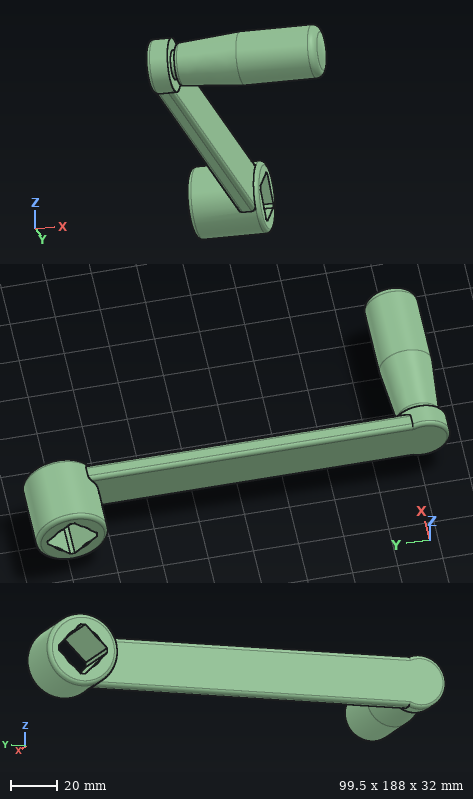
import cadquery as cq
import math

HUB_DIAMETER = 32.0
HUB_LENGTH = 32.0
EDGE_ROUND = 1.9
SQUARE_ACROSS_FLATS = 17.0
SQUARE_CORNER_DIAMETER = 22.0
LEAD_IN_DIAMETER = 17.9
LEAD_IN_ANGLE = 45
LEAD_IN_DEPTH = (LEAD_IN_DIAMETER - SQUARE_ACROSS_FLATS) / 2

TOTAL_LENGTH = 188.0
BOSS_DIAMETER = 23.9
BOSS_WIDTH = 9.8
ARM_HEIGHT = 22.0
ARM_THICKNESS = 7.9
BOSS_ROUND = 1.7
BOSS_X = HUB_LENGTH - BOSS_WIDTH
BOSS_Y = -(TOTAL_LENGTH - HUB_DIAMETER / 2 - BOSS_DIAMETER / 2)

SPINDLE_DIAMETER = 13.0
SPINDLE_START_X = BOSS_X + ARM_THICKNESS / 2
NECK_LENGTH = 2.0
GRIP_END_X = 99.5
GRIP_START_X = HUB_LENGTH + NECK_LENGTH
GRIP_DIAMETER = 23.7
GRIP_SMALL_DIAMETER = 19.0
GRIP_LIP_ROUND = 1.3
GRIP_TAPER_LENGTH = 28.5
GRIP_END_ROUND = 3.4
GRIP_DOME_HEIGHT = 1.3


def x_cylinder(diameter, start_x, length, center_y):
    """Cylinder parallel to the X axis."""
    return (
        cq.Workplane("YZ", origin=(start_x, center_y, 0))
        .circle(diameter / 2)
        .extrude(length)
    )


def make_square_bore():
    """Square socket on its corner, with corners cut back and a 45 degree lead-in on the left."""
    square = (
        cq.Workplane("YZ")
        .transformed(rotate=(0, 0, 45))
        .rect(SQUARE_ACROSS_FLATS, SQUARE_ACROSS_FLATS)
        .extrude(HUB_LENGTH)
    )
    corner_limit = x_cylinder(SQUARE_CORNER_DIAMETER, 0, HUB_LENGTH, 0)
    lead_in = (
        cq.Workplane("YZ")
        .circle(LEAD_IN_DIAMETER / 2)
        .extrude(LEAD_IN_DEPTH, taper=LEAD_IN_ANGLE)
    )
    return square.intersect(corner_limit).union(lead_in)


def make_arm():
    """Flat bar with rounded long edges, from the hub axis to the boss axis."""
    return (
        cq.Workplane("XY")
        .box(ARM_THICKNESS, -BOSS_Y, ARM_HEIGHT, centered=(False, False, True))
        .translate((BOSS_X, BOSS_Y, 0))
        .edges("|Y")
        .fillet(EDGE_ROUND)
    )


def make_crank():
    """Hub, arm and boss in one piece, bored for the shaft and for the spindle."""
    hub = x_cylinder(HUB_DIAMETER, 0, HUB_LENGTH, 0).edges("%CIRCLE").fillet(EDGE_ROUND)
    boss = x_cylinder(BOSS_DIAMETER, BOSS_X, BOSS_WIDTH, BOSS_Y).edges("<X").fillet(BOSS_ROUND)
    spindle_hole = x_cylinder(SPINDLE_DIAMETER, SPINDLE_START_X, BOSS_WIDTH, BOSS_Y)
    return hub.union(make_arm()).union(boss).cut(make_square_bore()).cut(spindle_hole)


def make_spindle():
    """Plain pin seated in blind holes in the boss and in the grip."""
    end_x = GRIP_START_X + GRIP_TAPER_LENGTH
    return x_cylinder(SPINDLE_DIAMETER, SPINDLE_START_X, end_x - SPINDLE_START_X, BOSS_Y)


def make_grip(spindle):
    """Turned grip: rounded lip, taper, cylinder and domed end, bored for the spindle."""
    radius = GRIP_DIAMETER / 2
    small_radius = GRIP_SMALL_DIAMETER / 2
    taper_end_x = GRIP_START_X + GRIP_TAPER_LENGTH
    dome_x = GRIP_END_X - GRIP_DOME_HEIGHT
    dome_radius = radius - GRIP_END_ROUND
    lip_bulge = GRIP_LIP_ROUND * (1 - math.sqrt(0.5))
    end_bulge = GRIP_END_ROUND * (1 - math.sqrt(0.5))
    sphere_radius = (dome_radius**2 + GRIP_DOME_HEIGHT**2) / (2 * GRIP_DOME_HEIGHT)
    dome_mid_y = dome_radius / 2
    dome_mid_x = GRIP_END_X - sphere_radius + math.sqrt(sphere_radius**2 - dome_mid_y**2)
    profile = (
        cq.Workplane("XY")
        .moveTo(GRIP_START_X, 0)
        .lineTo(GRIP_START_X, small_radius - GRIP_LIP_ROUND)
        .threePointArc(
            (GRIP_START_X + lip_bulge, small_radius - lip_bulge),
            (GRIP_START_X + GRIP_LIP_ROUND, small_radius),
        )
        .lineTo(taper_end_x, radius)
        .lineTo(dome_x - GRIP_END_ROUND, radius)
        .threePointArc((dome_x - end_bulge, radius - end_bulge), (dome_x, dome_radius))
        .threePointArc((dome_mid_x, dome_mid_y), (GRIP_END_X, 0))
        .close()
    )
    grip = profile.revolve(360, (0, 0, 0), (1, 0, 0)).translate((0, BOSS_Y, 0))
    return grip.cut(spindle)


crank = make_crank()
spindle = make_spindle()
grip = make_grip(spindle)

result = cq.Compound.makeCompound([crank.val(), spindle.val(), grip.val()])